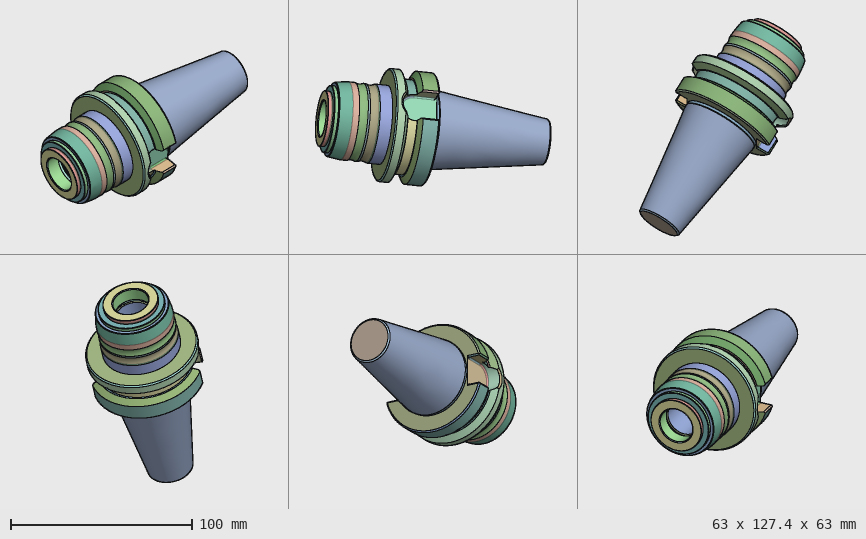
import cadquery as cq
import math


GAUGE_RADIUS = 22.225
TAPER_LENGTH = 65.4
TAPER_RATIO = 7 / 24
TAPER_END_CHAMFER = 0.8

COLLAR_RADIUS = 22.0
COLLAR_STEP_LENGTH = 0.4

FLANGE_RADIUS = 31.5
FLANGE_REAR_Y = -2.0
FLANGE_FRONT_Y = -27.0
FLANGE_CHAMFER = 0.8
GROOVE_CENTRE_Y = -16.6
GROOVE_MOUTH_WIDTH = 10.0
GROOVE_FLOOR_WIDTH = 5.4
GROOVE_FLOOR_RADIUS = 26.5
GROOVE_FLANK_ANGLE = 60.0

SLOT_COUNT = 2
SLOT_WIDTH = 16.1
SLOT_END_CENTRE_Y = -15.0
SLOT_FLOOR_X = 22.5
SLOT_RIM_CHAMFER = 1.0
SLOT_FLOOR_FILLET = 0.8
SLOT_LEAD_IN = 0.8

NOSE_END_Y = -62.0
SHOULDER_END_Y = -34.0
SHOULDER_CHAMFER_LENGTH = 0.6
GRIP_RADIUS = 21.75
GRIP_GROOVE_LENGTH = 4.95
GRIP_GROOVE_DEPTH = 0.6
GRIP_LAND_LENGTH = 1.2
FRONT_LAND_LENGTH = 3.6
CROWN_END_Y = -57.0
CROWN_END_RADIUS = 20.7
CROWN_BULGE = 0.12
CROWN_CHAMFER = 0.35
COVER_RADIUS = 18.7
COVER_END_Y = -59.2
COVER_CHAMFER = 0.25
TIP_ROOT_RADIUS = 15.3
TIP_REAR_Y = -59.9
TIP_RADIUS = 15.5
TIP_CHAMFER = 0.2

BORE_RADIUS = 10.0
BORE_CHAMFER = 0.5
BORE_END_Y = NOSE_END_Y + 51.0
SEAL_GROOVE_Y = NOSE_END_Y + 8.1
SEAL_GROOVE_WIDTH = 2.2
SEAL_GROOVE_RADIUS = 11.1
STOP_BORE_RADIUS = 7.4
STOP_BORE_CHAMFER = 0.35
STOP_BORE_END_Y = BORE_END_Y + 2.0
THREAD_RADIUS = 7.0
THREAD_END_Y = BORE_END_Y + 15.0
DRILL_RADIUS = 5.6
DRILL_END_Y = THREAD_END_Y + 5.0
DRILL_POINT_ANGLE = 140.0

CLEARANCE = 0.05


def revolve_about_y(outline):
    return outline.close().revolve(360, (0, 0, 0), (0, 1, 0))


def make_taper():
    tip_radius = GAUGE_RADIUS - TAPER_LENGTH * TAPER_RATIO / 2
    chamfer_start_y = TAPER_LENGTH - TAPER_END_CHAMFER
    chamfer_start_radius = GAUGE_RADIUS - chamfer_start_y * TAPER_RATIO / 2
    return revolve_about_y(
        cq.Workplane("XY")
        .moveTo(0, FLANGE_REAR_Y)
        .lineTo(COLLAR_RADIUS, FLANGE_REAR_Y)
        .lineTo(COLLAR_RADIUS, -COLLAR_STEP_LENGTH)
        .lineTo(GAUGE_RADIUS, 0)
        .lineTo(chamfer_start_radius, chamfer_start_y)
        .lineTo(tip_radius - TAPER_END_CHAMFER, TAPER_LENGTH)
        .lineTo(0, TAPER_LENGTH)
    )


def make_flange():
    chamfer_radius = FLANGE_RADIUS - FLANGE_CHAMFER
    half_mouth = GROOVE_MOUTH_WIDTH / 2
    half_floor = GROOVE_FLOOR_WIDTH / 2
    flank_depth = (half_mouth - half_floor) * math.tan(math.radians(GROOVE_FLANK_ANGLE))
    flank_radius = FLANGE_RADIUS - flank_depth
    return revolve_about_y(
        cq.Workplane("XY")
        .moveTo(0, FLANGE_REAR_Y)
        .lineTo(chamfer_radius, FLANGE_REAR_Y)
        .lineTo(FLANGE_RADIUS, FLANGE_REAR_Y - FLANGE_CHAMFER)
        .lineTo(FLANGE_RADIUS, GROOVE_CENTRE_Y + half_mouth)
        .lineTo(flank_radius, GROOVE_CENTRE_Y + half_floor)
        .lineTo(GROOVE_FLOOR_RADIUS, GROOVE_CENTRE_Y + half_floor)
        .lineTo(GROOVE_FLOOR_RADIUS, GROOVE_CENTRE_Y - half_floor)
        .lineTo(flank_radius, GROOVE_CENTRE_Y - half_floor)
        .lineTo(FLANGE_RADIUS, GROOVE_CENTRE_Y - half_mouth)
        .lineTo(FLANGE_RADIUS, FLANGE_FRONT_Y + FLANGE_CHAMFER)
        .lineTo(chamfer_radius, FLANGE_FRONT_Y)
        .lineTo(0, FLANGE_FRONT_Y)
    )


def make_nose():
    outline = (
        cq.Workplane("XY")
        .moveTo(0, FLANGE_FRONT_Y)
        .lineTo(COLLAR_RADIUS, FLANGE_FRONT_Y)
        .lineTo(COLLAR_RADIUS, SHOULDER_END_Y)
    )
    y = SHOULDER_END_Y - SHOULDER_CHAMFER_LENGTH
    outline = outline.lineTo(GRIP_RADIUS, y)
    for land_length in (GRIP_LAND_LENGTH, FRONT_LAND_LENGTH):
        outline = outline.threePointArc(
            (GRIP_RADIUS - GRIP_GROOVE_DEPTH, y - GRIP_GROOVE_LENGTH / 2),
            (GRIP_RADIUS, y - GRIP_GROOVE_LENGTH),
        )
        y -= GRIP_GROOVE_LENGTH + land_length
        outline = outline.lineTo(GRIP_RADIUS, y)
    crown_arc_end_y = CROWN_END_Y + CROWN_CHAMFER
    crown_middle = ((GRIP_RADIUS + CROWN_END_RADIUS) / 2 + CROWN_BULGE, (y + crown_arc_end_y) / 2)
    return revolve_about_y(
        outline
        .threePointArc(crown_middle, (CROWN_END_RADIUS, crown_arc_end_y))
        .lineTo(CROWN_END_RADIUS - CROWN_CHAMFER, CROWN_END_Y)
        .lineTo(COVER_RADIUS, CROWN_END_Y)
        .lineTo(COVER_RADIUS, COVER_END_Y + COVER_CHAMFER)
        .lineTo(COVER_RADIUS - COVER_CHAMFER, COVER_END_Y)
        .lineTo(TIP_ROOT_RADIUS, COVER_END_Y)
        .lineTo(TIP_RADIUS, TIP_REAR_Y)
        .lineTo(TIP_RADIUS, NOSE_END_Y + TIP_CHAMFER)
        .lineTo(TIP_RADIUS - TIP_CHAMFER, NOSE_END_Y)
        .lineTo(0, NOSE_END_Y)
    )


def make_bore():
    seal_rear_y = SEAL_GROOVE_Y + SEAL_GROOVE_WIDTH
    chamfer_end_y = BORE_END_Y + STOP_BORE_CHAMFER
    point_length = DRILL_RADIUS / math.tan(math.radians(DRILL_POINT_ANGLE / 2))
    return revolve_about_y(
        cq.Workplane("XY")
        .moveTo(0, NOSE_END_Y)
        .lineTo(BORE_RADIUS + BORE_CHAMFER, NOSE_END_Y)
        .lineTo(BORE_RADIUS, NOSE_END_Y + BORE_CHAMFER)
        .lineTo(BORE_RADIUS, SEAL_GROOVE_Y)
        .lineTo(SEAL_GROOVE_RADIUS, SEAL_GROOVE_Y)
        .lineTo(SEAL_GROOVE_RADIUS, seal_rear_y)
        .lineTo(BORE_RADIUS, seal_rear_y)
        .lineTo(BORE_RADIUS, BORE_END_Y)
        .lineTo(STOP_BORE_RADIUS + STOP_BORE_CHAMFER, BORE_END_Y)
        .lineTo(STOP_BORE_RADIUS, chamfer_end_y)
        .lineTo(STOP_BORE_RADIUS, STOP_BORE_END_Y)
        .lineTo(THREAD_RADIUS, STOP_BORE_END_Y)
        .lineTo(THREAD_RADIUS, THREAD_END_Y)
        .lineTo(DRILL_RADIUS, THREAD_END_Y)
        .lineTo(DRILL_RADIUS, DRILL_END_Y)
        .lineTo(0, DRILL_END_Y + point_length)
    )


def make_slot():
    """Round-ended drive slot on the +X side, open towards the taper."""
    half_width = SLOT_WIDTH / 2
    return (
        cq.Workplane("YZ", origin=(SLOT_FLOOR_X, 0, 0))
        .moveTo(FLANGE_REAR_Y, half_width)
        .lineTo(SLOT_END_CENTRE_Y, half_width)
        .threePointArc((SLOT_END_CENTRE_Y - half_width, 0), (SLOT_END_CENTRE_Y, -half_width))
        .lineTo(FLANGE_REAR_Y, -half_width)
        .close()
        .extrude(FLANGE_RADIUS - SLOT_FLOOR_X)
        .faces("<X").edges("not >Y").fillet(SLOT_FLOOR_FILLET)
    )


def make_slot_lead_in():
    """Triangular prism whose 45 degree sides bevel the mouth of the +X slot."""
    half_width = SLOT_WIDTH / 2 + SLOT_LEAD_IN
    return (
        cq.Workplane("YZ", origin=(SLOT_FLOOR_X, 0, 0))
        .moveTo(FLANGE_REAR_Y, half_width)
        .lineTo(FLANGE_REAR_Y - half_width, 0)
        .lineTo(FLANGE_REAR_Y, -half_width)
        .close()
        .extrude(FLANGE_RADIUS - SLOT_FLOOR_X)
    )


def chamfer_slot_rim(body):
    """Chamfer the edges where the +X slot's walls meet the flange's outer surface."""
    half_width = SLOT_WIDTH / 2
    rim_x = math.sqrt(FLANGE_RADIUS**2 - half_width**2)
    rim_box = cq.selectors.BoxSelector(
        (rim_x - CLEARANCE, SLOT_END_CENTRE_Y - half_width, -half_width - CLEARANCE),
        (FLANGE_RADIUS + CLEARANCE, FLANGE_REAR_Y - FLANGE_CHAMFER, half_width + CLEARANCE),
    )
    return body.edges(rim_box).chamfer(SLOT_RIM_CHAMFER)


def cut_drive_slots(body):
    slot = make_slot()
    lead_in = make_slot_lead_in()
    for _ in range(SLOT_COUNT):
        body = chamfer_slot_rim(body.cut(slot)).cut(lead_in)
        body = body.rotate((0, 0, 0), (0, 1, 0), 360 / SLOT_COUNT)
    return body


def make_holder():
    body = make_taper().union(make_flange()).union(make_nose()).cut(make_bore())
    return cut_drive_slots(body)


result = make_holder()